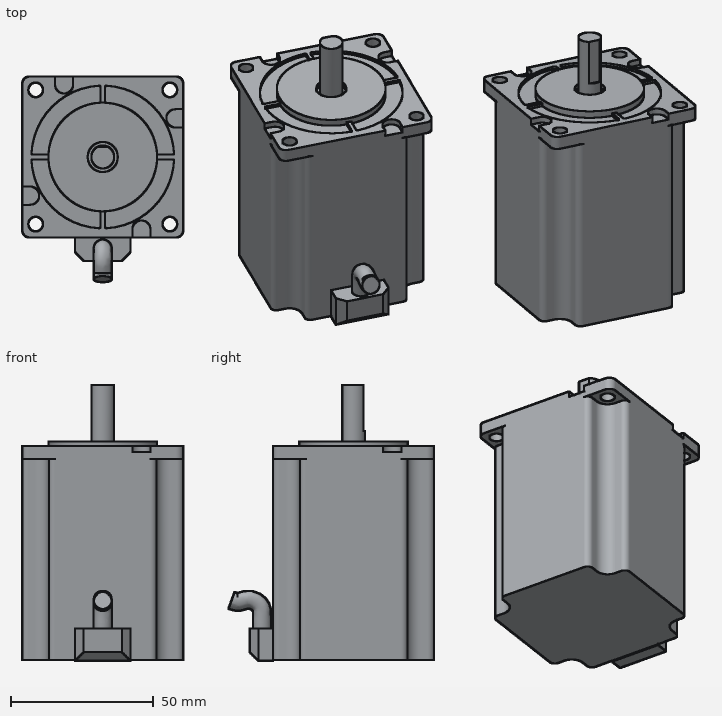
import cadquery as cq
import math

total_height = 96.6
body_bottom = 0.3
flange_bottom = 70.6
flange_top = 75.3
pilot_top = 76.8

side = 56.4
half_side = side / 2
flange_corner_radius = 2.6
hole_diameter = 5.0
hole_inset = 4.7

cove_radius = 4.6
lip_radius = 2.1

pilot_diameter = 38.1
recess_diameter = 49.9
recess_depth = 1.0
spoke_width = 1.6
recess_corner_radius = 0.5
notch_width = 6.4
notch_length = 6.0
notch_depth = 2.2
notch_offset = 13.5

shaft_diameter = 8.0
shaft_flat_distance = 3.5
shaft_foot_height = 3.7
shaft_well_diameter = 10.5
shaft_well_depth = pilot_top - flange_top

connector_width = 19.5
connector_reach = 8.2
connector_height = 11.4
connector_chamfer = 3.1
cable_diameter = 6.4
cable_offset = 3.9
collar_length = 1.8
cable_end_angle = 20.0
cable_end_height = 21.2
total_depth = 72.1

cable_bend_points = (
    (4.8, 19.7),
    (7.7, 21.35),
    (11.5, 20.8),
)


def cylinder(diameter, bottom, top):
    """Upright cylinder on the motor axis."""
    return cq.Workplane("XY").workplane(offset=bottom).circle(diameter / 2).extrude(top - bottom)


def corner_cutter():
    """Material removed from the (+X, +Y) corner of the body."""
    wall = half_side - hole_inset - cove_radius
    lip_start = wall - lip_radius
    lip_end = half_side - lip_radius
    cove_start = half_side - hole_inset
    lip_mid_in = wall - lip_radius * (1 - math.sqrt(0.5))
    lip_mid_out = half_side - lip_radius * (1 - math.sqrt(0.5))
    cove_mid = cove_start - cove_radius * math.sqrt(0.5)
    return (
        cq.Workplane("XY")
        .workplane(offset=body_bottom)
        .moveTo(lip_start, half_side)
        .threePointArc((lip_mid_in, lip_mid_out), (wall, lip_end))
        .lineTo(wall, cove_start)
        .threePointArc((cove_mid, cove_mid), (cove_start, wall))
        .lineTo(lip_end, wall)
        .threePointArc((lip_mid_out, lip_mid_in), (half_side, lip_start))
        .lineTo(half_side, half_side)
        .close()
        .extrude(flange_bottom - body_bottom)
    )


def make_body():
    height = flange_bottom - body_bottom
    body = cq.Workplane("XY").workplane(offset=body_bottom).rect(side, side).extrude(height)
    for quarter in range(4):
        body = body.cut(corner_cutter().rotate((0, 0, 0), (0, 0, 1), 90 * quarter))
    return body


def ring_recess():
    """Shallow ring around the pilot, left as four pockets by the spokes."""
    floor = flange_top - recess_depth
    ring = cylinder(recess_diameter, floor, flange_top).cut(cylinder(pilot_diameter, floor, flange_top))
    for length_x, length_y in ((side, spoke_width), (spoke_width, side)):
        spoke = cq.Workplane("XY").workplane(offset=floor).rect(length_x, length_y).extrude(recess_depth)
        ring = ring.cut(spoke)
    middle_radius = (recess_diameter + pilot_diameter) / 4
    outer_corners = cq.selectors.BoxSelector(
        (-middle_radius, -middle_radius, floor), (middle_radius, middle_radius, flange_top)
    )
    return ring.edges("|Z").edges(-outer_corners).fillet(recess_corner_radius)


def edge_notch():
    """Round-ended notch in the top of the flange, open at the +Y side."""
    radius = notch_width / 2
    round_centre = half_side - notch_length + radius
    return (
        cq.Workplane("XY")
        .workplane(offset=flange_top - notch_depth)
        .moveTo(-notch_offset - radius, half_side)
        .lineTo(-notch_offset - radius, round_centre)
        .threePointArc((-notch_offset, round_centre - radius), (-notch_offset + radius, round_centre))
        .lineTo(-notch_offset + radius, half_side)
        .close()
        .extrude(notch_depth)
    )


def make_flange():
    thickness = flange_top - flange_bottom
    hole_spacing = side - 2 * hole_inset
    flange = (
        cq.Workplane("XY")
        .workplane(offset=flange_bottom)
        .rect(side, side)
        .extrude(thickness)
        .edges("|Z")
        .fillet(flange_corner_radius)
        .faces(">Z")
        .workplane()
        .rect(hole_spacing, hole_spacing, forConstruction=True)
        .vertices()
        .hole(hole_diameter)
    )
    flange = flange.cut(ring_recess())
    for quarter in range(4):
        flange = flange.cut(edge_notch().rotate((0, 0, 0), (0, 0, 1), 90 * quarter))
    well = cylinder(shaft_well_diameter, pilot_top - shaft_well_depth, pilot_top)
    return flange.union(cylinder(pilot_diameter, flange_top, pilot_top)).cut(well)


def make_shaft():
    """Round shaft with a flat on the +Y side above its full-round foot."""
    shaft = cylinder(shaft_diameter, flange_bottom, total_height)
    flat_bottom = pilot_top + shaft_foot_height
    flat_cutter = (
        cq.Workplane("XY")
        .workplane(offset=flat_bottom)
        .center(0, shaft_flat_distance + shaft_diameter / 2)
        .rect(shaft_diameter, shaft_diameter)
        .extrude(total_height - flat_bottom)
    )
    return shaft.cut(flat_cutter)


def make_connector():
    return (
        cq.Workplane("XY")
        .box(connector_width, connector_reach, connector_height, centered=(True, False, False))
        .translate((0, -half_side - connector_reach, 0))
        .faces("<Y")
        .edges("|Z or <Z")
        .chamfer(connector_chamfer)
    )


def make_cable():
    """Cable rising from a short collar, bending outward, dipping and curving up to its cut end."""
    radius = cable_diameter / 2
    end_angle = math.radians(cable_end_angle)
    axis_y = -half_side - cable_offset
    collar_top = connector_height + collar_length
    end_y = half_side - total_depth + radius * math.sin(end_angle)
    bend = [(-half_side - outward, height) for outward, height in cable_bend_points]

    path = cq.Workplane("YZ").spline(
        [(axis_y, collar_top), *bend, (end_y, cable_end_height)],
        tangents=[(0, 1), (-math.cos(end_angle), math.sin(end_angle))],
    )
    collar_base = cq.Workplane("XY").workplane(offset=connector_height).center(0, axis_y)
    collar = collar_base.circle(radius).extrude(collar_length)
    cable = collar_base.workplane(offset=collar_length).circle(radius).sweep(path)
    return collar.union(cable)


result = make_body().union(make_flange()).union(make_shaft()).union(make_connector()).union(make_cable())